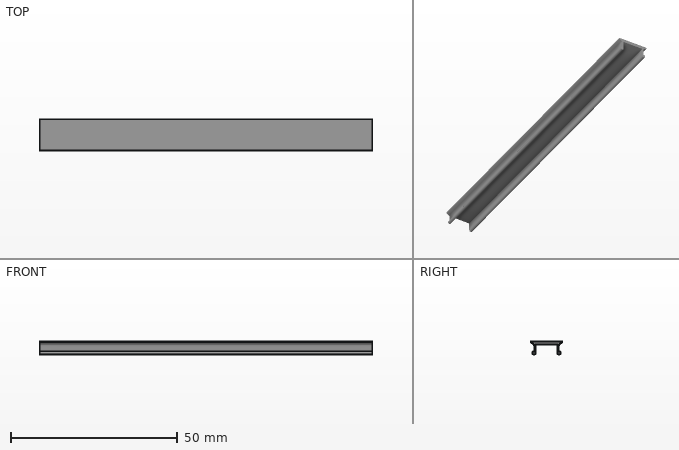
import cadquery as cq

length = 100.0
width = 9.5
height = 4.0

plate_thickness = 1.0
plate_lip = 0.3

leg_thickness = 0.5
leg_inner_y = 3.25
leg_outer_y = leg_inner_y + leg_thickness
root_fillet = 0.5

bead_radius = 0.5
bead_center_y = leg_inner_y + bead_radius

start_x = -length / 2
plate_bottom_z = height - plate_thickness


def section_plane():
    """Cross-section plane: local x runs along Y, local y along Z, extruding toward +X."""
    return cq.Workplane("YZ", origin=(start_x, 0, 0))


def channel():
    """Cover plate with both legs, the legs ending at the height of the bead centres."""
    half_width = width / 2
    lip_bottom_z = height - plate_lip
    outline = [
        (-half_width, height),
        (half_width, height),
        (half_width, lip_bottom_z),
        (leg_outer_y, plate_bottom_z),
        (leg_outer_y, bead_radius),
        (leg_inner_y, bead_radius),
        (leg_inner_y, plate_bottom_z),
        (-leg_inner_y, plate_bottom_z),
        (-leg_inner_y, bead_radius),
        (-leg_outer_y, bead_radius),
        (-leg_outer_y, plate_bottom_z),
        (-half_width, lip_bottom_z),
    ]
    return section_plane().polyline(outline).close().extrude(length)


def round_leg_roots(body):
    """Fillet the corners where the bevels meet the outer faces of the legs."""
    for side in (-1, 1):
        root = cq.selectors.NearestToPointSelector((0, side * leg_outer_y, plate_bottom_z))
        body = body.edges("|X").edges(root).fillet(root_fillet)
    return body


def foot_bead(side):
    """Round bead along one foot; side is +1 or -1 along Y."""
    return section_plane().center(side * bead_center_y, bead_radius).circle(bead_radius).extrude(length)


result = round_leg_roots(channel())
for side in (-1, 1):
    result = result.union(foot_bead(side))